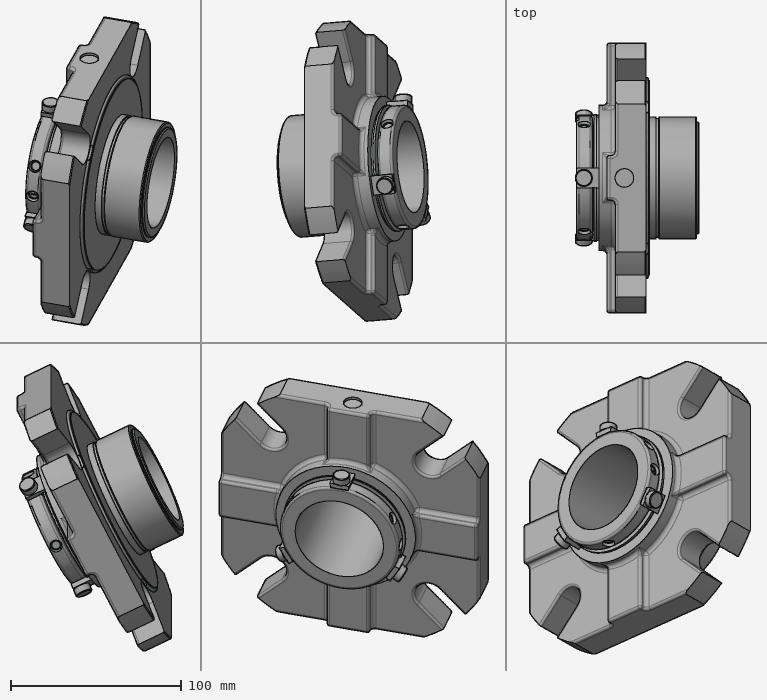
import cadquery as cq
import math


TOLERANCE = 0.02
OVERSHOOT = 1.6

FLANGE_SIZE = 158.5
FLANGE_FRONT = 23.5
FLANGE_BACK = 41.5
CORNER_RADIUS = 90.3
CORNER_CHAMFER = 0.6
EDGE_ROUND = 1.7
ROOT_FILLET = 2.5

RIB_FRONT = 18.5
RIB_WIDTH = 26.3
HUB_FRONT = 13.8
HUB_DIAMETER = 85.5

SLOT_WIDTH = 18.2
SLOT_CENTRE_RADIUS = 68.3
SLOT_ANGLES = (45, 135, 225, 315)
SLOT_RIM_ROUND = 1.5
REGISTER_SLOT_WIDTH = SLOT_WIDTH + 2 * SLOT_RIM_ROUND

REGISTER_DIAMETER = 118.2
REGISTER_BACK = 43.0
REGISTER_ROUND = 1.3
REGISTER_STEP_DIAMETER = 114.3
REGISTER_STEP_BACK = 43.6

PORT_DIAMETER = 11.0
PORT_DEPTH = 1.6
PORT_X = 28.8

BORE_DIAMETER = 54.0
SLEEVE_DIAMETER = 57.0
SEAL_FACE_FRONT = 10.8
SEAL_FACE_DIAMETER = 62.5
RING_FRONT = 11.1
RING_BACK = 12.4
RING_DIAMETER = 74.5
RING_SEAT_DIAMETER = 71.8

NECK_DIAMETER = 71.6
NECK_BACK = 47.4
GROOVE_DIAMETER = 69.9
GROOVE_BACK = 48.8
BARREL_DIAMETER = 71.8
BARREL_BACK = 71.3
BARREL_CHAMFER = 0.6
TAIL_DIAMETER = 66.0
TAIL_CHAMFER = 0.8
OVERALL_LENGTH = 72.8

COLLAR_FRONT = 0.6
COLLAR_BACK = 10.0
COLLAR_DIAMETER = 72.9
COLLAR_ROUND = 1.5

CLIP_ANGLES = (90, 210, 330)
CLIP_FRONT = 0.8
CLIP_WIDTH = 11.7
CLIP_BASE_WIDTH = 10.6
CLIP_TOP = 39.1
CLIP_BASE = 36.0
CLIP_HOOK_BOTTOM = 34.9
PIN_DIAMETER = 10.0
PIN_TOP = 43.6
PIN_CHAMFER = 0.5
PIN_X = PIN_DIAMETER / 2

PLAIN_SCREW_ANGLES = (30, 150, 270)
SLOTTED_SCREW_ANGLE = 180
RECESS_RIM_DIAMETER = 7.3
RECESS_FLOOR_DIAMETER = 6.0
RECESS_DEPTH = 1.9
SOCKET_DIAMETER = 5.0
SOCKET_DEPTH = 0.5
DRIVER_SLOT_LENGTH = 3.2
DRIVER_SLOT_WIDTH = 0.6
DRIVER_SLOT_DEPTH = 0.8
SCREW_X = 5.2


def disc(diameter, start, end):
    """Cylinder on the X axis between two X positions."""
    return cq.Workplane("YZ").workplane(offset=start).circle(diameter / 2).extrude(end - start)


def block(start, end, width_y, bottom, top):
    """Box centred on Y = 0, between two X and two Z positions."""
    corner = (start, -width_y / 2, bottom)
    return cq.Workplane("XY").box(end - start, width_y, top - bottom, centered=False).translate(corner)


def around_axis(shape, angle):
    """Turn a shape modelled at +Z so that it sits at an angle measured from +Y toward +Z."""
    return shape.rotate((0, 0, 0), (1, 0, 0), angle - 90)


def slot_cutter(width, start, end):
    """Round-ended slot at +Z, open outward."""
    end_round = disc(width, start, end).translate((0, 0, SLOT_CENTRE_RADIUS))
    return end_round.union(block(start, end, width, SLOT_CENTRE_RADIUS, FLANGE_SIZE))


def points_on(edge):
    """Both ends and two inner points of an edge."""
    return [edge.positionAt(fraction) for fraction in (0, 0.3, 0.6, 1)]


def near(value, target):
    return abs(value - target) < TOLERANCE


def side_distance(point):
    """Distance from the axis measured square to the flange sides."""
    return max(abs(point.y), abs(point.z))


def is_in_front_zone(edge):
    """True for edges between the hub face and the plate face, leaving out the hub itself."""
    box = edge.BoundingBox()
    return box.xmin > RIB_FRONT - TOLERANCE and box.xmax < FLANGE_BACK - TOLERANCE


def is_root(edge):
    """True for inside corners between plate, ribs and hub."""
    if not is_in_front_zone(edge):
        return False
    on_hub = all(near(math.hypot(p.y, p.z), HUB_DIAMETER / 2) for p in points_on(edge))
    on_plate = all(near(p.x, FLANGE_FRONT) for p in points_on(edge))
    on_side = all(near(side_distance(p), FLANGE_SIZE / 2) for p in points_on(edge))
    return on_hub or (on_plate and not on_side)


def is_rib_shoulder(edge):
    """True for the long outside edges of the ribs."""
    return all(
        near(p.x, RIB_FRONT) and near(min(abs(p.y), abs(p.z)), RIB_WIDTH / 2) for p in points_on(edge)
    )


def is_front_rim(edge):
    """True for the front edge of the four flange sides, including where it climbs over the ribs."""
    return is_in_front_zone(edge) and all(near(side_distance(p), FLANGE_SIZE / 2) for p in points_on(edge))


def fillet_where(solid, test, radius):
    """Fillet every edge of a solid that passes a test."""
    return solid.fillet(radius, [edge for edge in solid.Edges() if test(edge)])


def flange_blank():
    """Square plate with cross ribs and hub, inside corners filleted and front edges rounded."""
    half = FLANGE_SIZE / 2
    upright_rib = block(RIB_FRONT, FLANGE_BACK, RIB_WIDTH, -half, half)
    body = (
        block(FLANGE_FRONT, FLANGE_BACK, FLANGE_SIZE, -half, half)
        .union(upright_rib)
        .union(around_axis(upright_rib, 0))
        .union(disc(HUB_DIAMETER, HUB_FRONT, FLANGE_BACK))
    )
    solid = fillet_where(body.solids().val(), is_root, ROOT_FILLET)
    solid = fillet_where(solid, is_rib_shoulder, EDGE_ROUND)
    return cq.Workplane(fillet_where(solid, is_front_rim, EDGE_ROUND))


def slot_rim_edges(body):
    """Front edges of the bolt slots, found by their distance from each slot centre line."""
    rims = []
    for edge in body.val().Edges():
        ends = [edge.startPoint(), edge.endPoint()]
        if not all(near(p.x, FLANGE_FRONT) for p in ends):
            continue
        offsets = [abs(abs(p.y) - abs(p.z)) / math.sqrt(2) for p in ends]
        if all(near(offset, SLOT_WIDTH / 2) for offset in offsets):
            rims.append(edge)
    return rims


def flange():
    """Flange with rounded corners, open bolt slots, register disc and side port."""
    corner_trim = disc(2 * CORNER_RADIUS, 0, FLANGE_BACK).faces(">X").chamfer(CORNER_CHAMFER)
    body = flange_blank().intersect(corner_trim)
    register = disc(REGISTER_DIAMETER, FLANGE_BACK, REGISTER_BACK).faces(">X").edges().fillet(REGISTER_ROUND)
    register = register.union(disc(REGISTER_STEP_DIAMETER, FLANGE_BACK, REGISTER_STEP_BACK))
    for angle in SLOT_ANGLES:
        slot = slot_cutter(SLOT_WIDTH, 0, FLANGE_BACK + OVERSHOOT)
        register_slot = slot_cutter(REGISTER_SLOT_WIDTH, FLANGE_BACK, REGISTER_STEP_BACK)
        body = body.cut(around_axis(slot, angle))
        register = register.cut(around_axis(register_slot, angle))
    body = cq.Workplane(body.solids().val())
    body = cq.Workplane(body.val().fillet(SLOT_RIM_ROUND, slot_rim_edges(body)))

    port_floor = FLANGE_SIZE / 2 - PORT_DEPTH
    port = cq.Workplane("XY").center(PORT_X, 0).circle(PORT_DIAMETER / 2).extrude(PORT_DEPTH)
    return body.cut(port.translate((0, 0, port_floor))).union(register)


def barrel():
    """Stepped barrel behind the flange, reaching forward into the flange."""
    main = disc(BARREL_DIAMETER, GROOVE_BACK, BARREL_BACK).edges().chamfer(BARREL_CHAMFER)
    tail = disc(TAIL_DIAMETER, GROOVE_BACK, OVERALL_LENGTH).faces(">X").chamfer(TAIL_CHAMFER)
    neck = disc(NECK_DIAMETER, FLANGE_FRONT, NECK_BACK)
    groove = disc(GROOVE_DIAMETER, NECK_BACK, GROOVE_BACK)
    return neck.union(groove).union(main).union(tail)


def seal_front():
    """Sleeve and stationary seal steps between the collar and the hub."""
    sleeve = disc(SLEEVE_DIAMETER, COLLAR_FRONT, FLANGE_FRONT)
    seal_face = disc(SEAL_FACE_DIAMETER, SEAL_FACE_FRONT, FLANGE_FRONT)
    ring = disc(RING_DIAMETER, RING_FRONT, RING_BACK)
    seat = disc(RING_SEAT_DIAMETER, RING_BACK, FLANGE_FRONT)
    return sleeve.union(seal_face).union(ring).union(seat)


def screw_recess():
    """Tapered recess with a shallow socket, cut into the collar at +Z."""
    rim = COLLAR_DIAMETER / 2
    floor = rim - RECESS_DEPTH
    taper = (
        cq.Workplane("XY", origin=(SCREW_X, 0, floor))
        .circle(RECESS_FLOOR_DIAMETER / 2)
        .workplane(offset=RECESS_DEPTH)
        .circle(RECESS_RIM_DIAMETER / 2)
        .loft()
    )
    socket = cq.Workplane("XY", origin=(SCREW_X, 0, floor)).circle(SOCKET_DIAMETER / 2).extrude(-SOCKET_DEPTH)
    return taper.union(socket)


def driver_slot():
    """Screwdriver slot in the floor of the recess at +Z."""
    half_length = DRIVER_SLOT_LENGTH / 2
    top = COLLAR_DIAMETER / 2 - RECESS_DEPTH
    bottom = top - SOCKET_DEPTH - DRIVER_SLOT_DEPTH
    return block(SCREW_X - half_length, SCREW_X + half_length, DRIVER_SLOT_WIDTH, bottom, top)


def collar():
    """Drive collar with rounded edges and set screw recesses."""
    body = disc(COLLAR_DIAMETER, COLLAR_FRONT, COLLAR_BACK).edges().fillet(COLLAR_ROUND)
    for angle in PLAIN_SCREW_ANGLES:
        body = body.cut(around_axis(screw_recess(), angle))
    slotted_recess = screw_recess().union(driver_slot())
    return body.cut(around_axis(slotted_recess, SLOTTED_SCREW_ANGLE))


def clip_with_pin():
    """Flared setting clip bridging collar and hub, topped by a round pin head, at +Z."""
    body = (
        cq.Workplane("YZ", origin=(CLIP_FRONT, 0, 0))
        .moveTo(-CLIP_BASE_WIDTH / 2, CLIP_BASE)
        .lineTo(CLIP_BASE_WIDTH / 2, CLIP_BASE)
        .lineTo(CLIP_WIDTH / 2, CLIP_TOP)
        .lineTo(-CLIP_WIDTH / 2, CLIP_TOP)
        .close()
        .extrude(HUB_FRONT - CLIP_FRONT)
    )
    hook = block(COLLAR_BACK, HUB_FRONT, CLIP_BASE_WIDTH, CLIP_HOOK_BOTTOM, CLIP_BASE)
    pin = cq.Workplane("XY", origin=(PIN_X, 0, CLIP_TOP)).circle(PIN_DIAMETER / 2).extrude(PIN_TOP - CLIP_TOP)
    return body.union(hook).union(pin.faces(">Z").chamfer(PIN_CHAMFER))


assembly = flange().union(barrel()).union(seal_front()).union(collar())
for clip_angle in CLIP_ANGLES:
    assembly = assembly.union(around_axis(clip_with_pin(), clip_angle))
bore = disc(BORE_DIAMETER, -OVERSHOOT, OVERALL_LENGTH + OVERSHOOT)
result = cq.Workplane(assembly.cut(bore).solids().val())